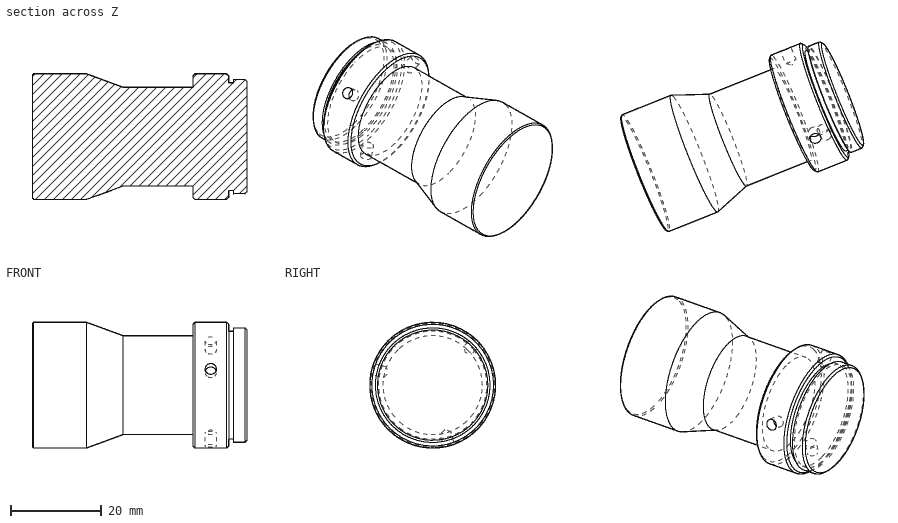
import cadquery as cq
import math

total_length = 47.7
head_length = 12.0
taper_length = 8.1
collar_start = 35.6
collar_length = 8.0
groove_width = 1.0

body_radius = 13.995
neck_radius = 11.0
groove_radius = 12.0
flange_radius = 12.75

head_chamfer = 0.3
edge_chamfer = 0.5

hole_count = 3
first_hole_angle = 45.0
hole_diameter = 2.5
hole_depth = 3.0
drill_tip_angle = 118.0


def disc(start, length, radius):
    """Solid cylinder along X."""
    return cq.Workplane("YZ", origin=(start, 0, 0)).circle(radius).extrude(length)


def taper(start, length):
    """Conical transition from the head to the neck."""
    end = start + length
    return (
        cq.Workplane("XY")
        .moveTo(start, 0)
        .lineTo(start, body_radius)
        .lineTo(end, neck_radius)
        .lineTo(end, 0)
        .close()
        .revolve(360, (0, 0, 0), (1, 0, 0))
    )


def collar_hole(angle):
    """Drilled hole with a conical bottom, pointing at the X axis."""
    hole_radius = hole_diameter / 2
    tip_length = hole_radius / math.tan(math.radians(drill_tip_angle / 2))
    bottom = body_radius - hole_depth
    center = collar_start + collar_length / 2
    drill = (
        cq.Workplane("XY")
        .moveTo(0, bottom - tip_length)
        .lineTo(hole_radius, bottom)
        .lineTo(hole_radius, body_radius + edge_chamfer)
        .lineTo(0, body_radius + edge_chamfer)
        .close()
        .revolve(360, (0, 0, 0), (0, 1, 0))
    )
    return drill.rotate((0, 0, 0), (1, 0, 0), angle).translate((center, 0, 0))


head = disc(0, head_length, body_radius).faces("<X").chamfer(head_chamfer)

neck_start = head_length + taper_length
neck = disc(neck_start, collar_start - neck_start, neck_radius)

collar = disc(collar_start, collar_length, body_radius).faces("<X or >X").chamfer(edge_chamfer)

groove_start = collar_start + collar_length
groove = disc(groove_start, groove_width, groove_radius)

flange_start = groove_start + groove_width
flange = disc(flange_start, total_length - flange_start, flange_radius).faces(">X").chamfer(edge_chamfer)

result = head.union(taper(head_length, taper_length)).union(neck).union(collar).union(groove).union(flange)

for index in range(hole_count):
    result = result.cut(collar_hole(first_hole_angle + index * 360 / hole_count))